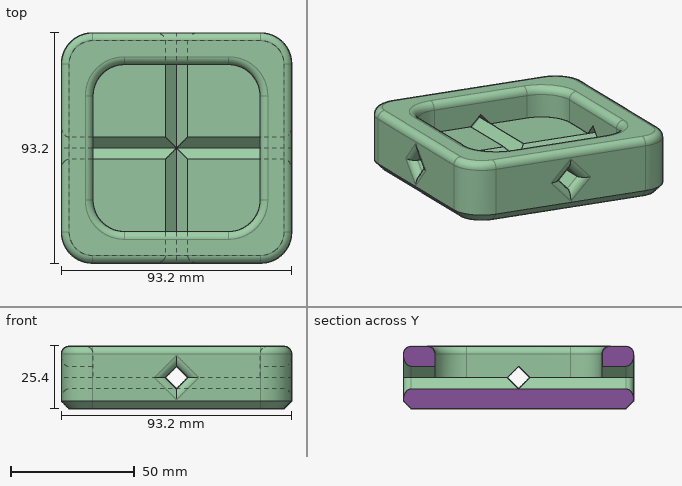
import cadquery as cq

side = 93.2
height = 25.4
corner_radius = 12.7
edge_size = 3.2

wall = 12.9
pocket_side = side - 2 * wall
pocket_corner_radius = 12.7
floor_height = height / 2

passage_side = 6.3
passage_height = height / 2


def rounded_square(width, radius, bottom, top):
    """Upright square prism with rounded vertical corners."""
    return (
        cq.Workplane("XY", origin=(0, 0, bottom))
        .rect(width, width)
        .extrude(top - bottom)
        .edges("|Z")
        .fillet(radius)
    )


def make_tray():
    """Block with a rounded rim, a chamfered base and an open pocket."""
    block = rounded_square(side, corner_radius, 0, height)
    block = block.faces("<Z").edges().chamfer(edge_size)
    pocket = rounded_square(pocket_side, pocket_corner_radius, floor_height, height)
    return block.cut(pocket).faces(">Z").edges().fillet(edge_size)


def make_passage():
    """Diamond-section bar along X, as long as the block."""
    return (
        cq.Workplane("XY")
        .box(side, passage_side, passage_side)
        .rotate((0, 0, 0), (1, 0, 0), 45)
        .translate((0, 0, passage_height))
    )


result = make_tray()
for angle in (0, 90):
    result = result.cut(make_passage().rotate((0, 0, 0), (0, 0, 1), angle))

mouth_reach = passage_side
for x_step, y_step in ((1, 0), (-1, 0), (0, 1), (0, -1)):
    x = x_step * side / 2
    y = y_step * side / 2
    low = (x - mouth_reach, y - mouth_reach, passage_height - mouth_reach)
    high = (x + mouth_reach, y + mouth_reach, passage_height + mouth_reach)
    outward = cq.selectors.DirectionMinMaxSelector(cq.Vector(x_step, y_step, 0), True)
    mouth_edges = result.faces(outward).edges(cq.selectors.BoxSelector(low, high))
    result = mouth_edges.fillet(edge_size)